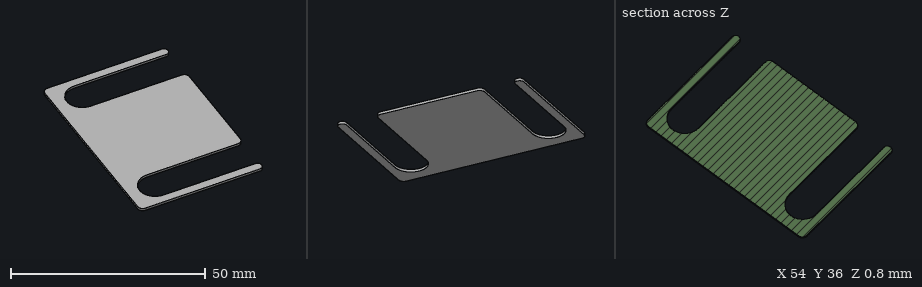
import cadquery as cq

length = 54.0
depth = 36.0
thickness = 0.8
corner_radius = 1.5

arm_width = 2.5
slot_width = 9.0
base_width = 3.5

slot_radius = slot_width / 2
slot_center_x = length / 2 - arm_width - slot_radius
slot_end_y = -depth / 2 + base_width + slot_radius
slot_straight = depth / 2 - slot_end_y
tongue_half_width = slot_center_x - slot_radius
tip_flat = 0.05
arm_tip_radius = (arm_width - tip_flat) / 2


def open_slot(center_x):
    """Cutter for a slot with a round inner end and an open outer end."""
    straight = (
        cq.Workplane("XY")
        .center(center_x, slot_end_y + slot_straight / 2)
        .rect(slot_width, slot_straight)
        .extrude(thickness)
    )
    round_end = cq.Workplane("XY").center(center_x, slot_end_y).circle(slot_radius).extrude(thickness)
    return straight.union(round_end)


def edges_at(x_positions, y):
    """Select the vertical edges standing at the given plan positions."""
    selector = None
    for x in x_positions:
        edge_center = cq.selectors.NearestToPointSelector((x, y, thickness / 2))
        selector = edge_center if selector is None else selector + edge_center
    return selector


plate = cq.Workplane("XY").box(length, depth, thickness, centered=(True, True, False))
for side in (-1, 1):
    plate = plate.cut(open_slot(side * slot_center_x))

outer_x = length / 2
plate = plate.edges(edges_at((-outer_x, outer_x), -depth / 2)).fillet(corner_radius)
plate = plate.edges(edges_at((-tongue_half_width, tongue_half_width), depth / 2)).fillet(corner_radius)

arm_inner_x = outer_x - arm_width
tip_positions = (-outer_x, -arm_inner_x, arm_inner_x, outer_x)
result = plate.edges(edges_at(tip_positions, depth / 2)).fillet(arm_tip_radius)